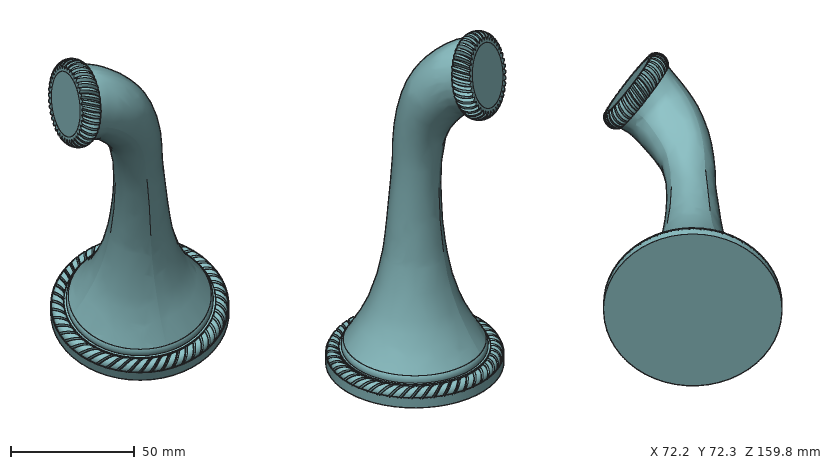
import cadquery as cq
import math

FLANGE_RADIUS = 36.1
RIM_HEIGHT = 4.6
LAND_HEIGHT = 7.8
LAND_RADIUS = 30.7
COLLAR_RADIUS = 29.7
COLLAR_HEIGHT = 10.9
COLLAR_SHOULDER_RADIUS = 29.5
COLLAR_SHOULDER_HEIGHT = 9.8
ROPE_RADIUS = 3.12
ROPE_RING_RADIUS = 32.6
ROPE_SPAN = 125.0
ROPE_STRANDS = 50
ROPE_TWIST = 9.0
ROPE_GROOVE_DEPTH = 0.8
ROPE_GROOVE_WIDTH = 1.3
ROPE_CUT_ANGLE = 65.0

HEAD_TILT = 75.7
NECK_OFFSET = 24.3
NECK_HEIGHT = 141.0
NECK_RADIUS = 15.8
STEM_FOOT_RADIUS = 29.0
STEM_SECTIONS = [
    (0.0, COLLAR_HEIGHT, 0.0, STEM_FOOT_RADIUS),
    (0.0, 23.2, 0.0, 21.9),
    (0.0, 37.5, 0.0, 16.3),
    (0.0, 56.9, 0.0, 12.5),
    (0.2, 80.0, 0.0, 10.5),
    (1.0, 96.0, 4.0, 10.0),
    (2.4, 110.3, 12.0, 10.9),
    (5.0, 119.3, 22.0, 12.0),
    (9.5, 128.2, 34.0, 13.5),
    (15.5, 135.7, 54.0, 14.4),
    (NECK_OFFSET, NECK_HEIGHT, HEAD_TILT, NECK_RADIUS),
]

HEAD_THICKNESS = 8.2
RING_EDGE_RADIUS = 16.1
RING_RADIUS = 18.2
CAP_RADIUS = 13.5
KNURL_TEETH = 40
KNURL_TWIST = 9.0
KNURL_GROOVE_DEPTH = 1.6
KNURL_GROOVE_WIDTH = 1.8

GROOVE_STEPS = 6
GROOVE_OVERRUN = 0.08
CUTTER_CLEARANCE = 0.8


def arc_point(centre_radius, centre_height, radius, angle):
    """Distance from the axis and height of a point on a bead's round section."""
    turn = math.radians(angle)
    return centre_radius + radius * math.cos(turn), centre_height + radius * math.sin(turn)


def groove_cutter(arc, start_angle, end_angle, twist, depth, width, cut_angle):
    """A V-shaped bar that follows a bead's round section while it turns about Z."""
    cut_out = math.cos(math.radians(cut_angle))
    cut_up = math.sin(math.radians(cut_angle))
    half_mouth = width / 2 * (depth + CUTTER_CLEARANCE) / depth
    wires = []
    for step in range(GROOVE_STEPS + 1):
        along = -GROOVE_OVERRUN + (1 + 2 * GROOVE_OVERRUN) * step / GROOVE_STEPS
        distance, height = arc_point(*arc, start_angle + (end_angle - start_angle) * along)
        root = (distance - depth * cut_out, 0, height - depth * cut_up)
        mouth_distance = distance + CUTTER_CLEARANCE * cut_out
        mouth_height = height + CUTTER_CLEARANCE * cut_up
        corners = [
            root,
            (mouth_distance, half_mouth, mouth_height),
            (mouth_distance, -half_mouth, mouth_height),
        ]
        wire = cq.Wire.makePolygon([cq.Vector(*corner) for corner in corners], close=True)
        wires.append(wire.rotate(cq.Vector(0, 0, 0), cq.Vector(0, 0, 1), twist * along))
    return cq.Solid.makeLoft(wires)


def cut_around(body, cutter, count):
    """Cut the same groove at equal steps around Z."""
    cutters = [
        cutter.rotate(cq.Vector(0, 0, 0), cq.Vector(0, 0, 1), 360 / count * index)
        for index in range(count)
    ]
    return body.cut(cq.Compound.makeCompound(cutters))


def make_flange():
    arc = (ROPE_RING_RADIUS, RIM_HEIGHT, ROPE_RADIUS)
    bead_outer = arc_point(*arc, 0)
    bead_top = arc_point(*arc, ROPE_SPAN / 2)
    bead_inner = arc_point(*arc, ROPE_SPAN)
    blank = (
        cq.Workplane("XZ")
        .moveTo(0, 0)
        .lineTo(FLANGE_RADIUS, 0)
        .lineTo(FLANGE_RADIUS, RIM_HEIGHT)
        .lineTo(*bead_outer)
        .threePointArc(bead_top, bead_inner)
        .lineTo(LAND_RADIUS, bead_inner[1])
        .lineTo(LAND_RADIUS, LAND_HEIGHT)
        .lineTo(COLLAR_RADIUS, LAND_HEIGHT)
        .threePointArc(
            (COLLAR_SHOULDER_RADIUS, COLLAR_SHOULDER_HEIGHT), (STEM_FOOT_RADIUS, COLLAR_HEIGHT)
        )
        .lineTo(0, COLLAR_HEIGHT)
        .close()
        .revolve(360, (0, 0, 0), (0, 1, 0))
    )
    cutter = groove_cutter(
        arc, 0, ROPE_SPAN, ROPE_TWIST, ROPE_GROOVE_DEPTH, ROPE_GROOVE_WIDTH, ROPE_CUT_ANGLE
    )
    return cut_around(blank.val(), cutter, ROPE_STRANDS)


def make_stem():
    wires = []
    for offset, height, tilt, radius in STEM_SECTIONS:
        lean = math.radians(tilt)
        centre = cq.Vector(0, -offset, height)
        direction = cq.Vector(0, -math.sin(lean), math.cos(lean))
        wires.append(cq.Wire.makeCircle(radius, centre, direction))
    return cq.Solid.makeLoft(wires)


def place_on_neck(body):
    """Move a body built on the origin, facing +Z, to the tilted end of the stem."""
    tilted = body.rotate(cq.Vector(0, 0, 0), cq.Vector(1, 0, 0), HEAD_TILT)
    return tilted.translate(cq.Vector(0, -NECK_OFFSET, NECK_HEIGHT))


def make_knurled_ring():
    half_thickness = HEAD_THICKNESS / 2
    bulge = RING_RADIUS - RING_EDGE_RADIUS
    arc_radius = (half_thickness**2 + bulge**2) / (2 * bulge)
    half_span = math.degrees(math.asin(half_thickness / arc_radius))
    blank = (
        cq.Workplane("XZ")
        .moveTo(CAP_RADIUS, 0)
        .lineTo(RING_EDGE_RADIUS, 0)
        .threePointArc((RING_RADIUS, half_thickness), (RING_EDGE_RADIUS, HEAD_THICKNESS))
        .lineTo(CAP_RADIUS, HEAD_THICKNESS)
        .close()
        .revolve(360, (0, 0, 0), (0, 1, 0))
    )
    arc = (RING_RADIUS - arc_radius, half_thickness, arc_radius)
    cutter = groove_cutter(
        arc, -half_span, half_span, KNURL_TWIST, KNURL_GROOVE_DEPTH, KNURL_GROOVE_WIDTH, 0
    )
    return place_on_neck(cut_around(blank.val(), cutter, KNURL_TEETH))


def make_cap():
    cap = cq.Workplane("XY").circle(CAP_RADIUS).extrude(HEAD_THICKNESS)
    return place_on_neck(cap.val())


flange = make_flange()
stem = make_stem()
knurled_ring = make_knurled_ring()
cap = make_cap()

result = cq.Compound.makeCompound(
    [*flange.Solids(), stem, *knurled_ring.Solids(), cap]
)